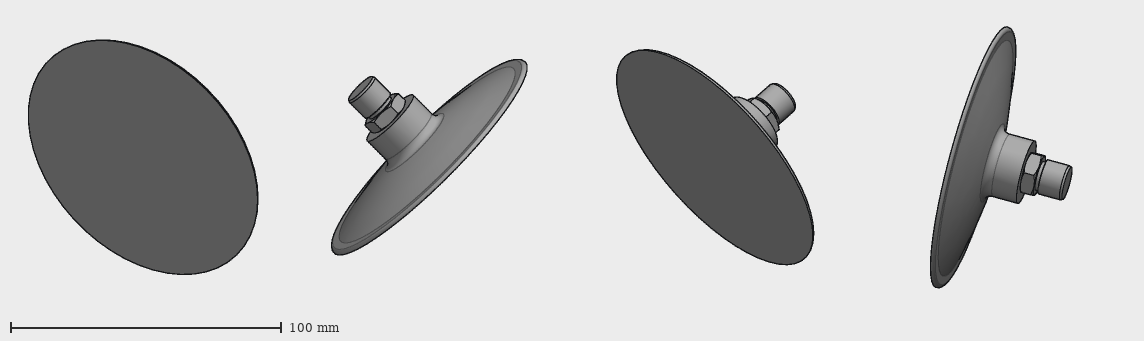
import cadquery as cq
import math

cup_radius = 49.9
total_height = 37.0

rim_height = 1.5
rim_rounding = 1.5
dome_outer_radius = 45.2
dome_inner_radius = 15.0
dome_top = 8.1
dome_bulge = 0.5

collar_radius = 24.0 / 2
flare_top = 11.6
collar_top = 21.2

hex_across_flats = 15.0
hex_top = 26.3
hex_turn = -3.0
hex_chamfer_angle = 30.0

neck_radius = 11.0 / 2
neck_top = 27.8
stud_radius = 13.2 / 2
stud_chamfer_height = 0.9
stud_chamfer_width = 0.4


def make_cup():
    """Lip, dome, flare and collar as one revolved outline."""
    dome_middle = (
        (dome_outer_radius + dome_inner_radius) / 2,
        (rim_height + dome_top) / 2 + dome_bulge,
    )
    inset = 1 - math.sqrt(0.5)
    flare_middle = (
        collar_radius + inset * (dome_inner_radius - collar_radius),
        dome_top + inset * (flare_top - dome_top),
    )
    return (
        cq.Workplane("XY")
        .lineTo(cup_radius, 0)
        .radiusArc((cup_radius - rim_rounding, rim_height), -rim_rounding)
        .lineTo(dome_outer_radius, rim_height)
        .threePointArc(dome_middle, (dome_inner_radius, dome_top))
        .threePointArc(flare_middle, (collar_radius, flare_top))
        .lineTo(collar_radius, collar_top)
        .lineTo(0, collar_top)
        .close()
        .revolve(360, (0, 0, 0), (0, 1, 0))
    )


def make_hex():
    """Hexagonal prism with its corners chamfered by a cone at both ends."""
    flat_radius = hex_across_flats / 2
    corner_radius = flat_radius / math.cos(math.pi / 6)
    chamfer_drop = (corner_radius - flat_radius) * math.tan(math.radians(hex_chamfer_angle))
    prism = (
        cq.Workplane("XZ", origin=(0, collar_top, 0))
        .transformed(rotate=(0, 0, hex_turn))
        .polygon(6, 2 * corner_radius)
        .extrude(collar_top - hex_top)
    )
    envelope = (
        cq.Workplane("XY")
        .moveTo(0, collar_top)
        .lineTo(flat_radius, collar_top)
        .lineTo(corner_radius, collar_top + chamfer_drop)
        .lineTo(corner_radius, hex_top - chamfer_drop)
        .lineTo(flat_radius, hex_top)
        .lineTo(0, hex_top)
        .close()
        .revolve(360, (0, 0, 0), (0, 1, 0))
    )
    return prism.intersect(envelope)


def make_stud():
    """Undercut neck and plain stud with a chamfered tip."""
    return (
        cq.Workplane("XY")
        .moveTo(0, hex_top)
        .lineTo(neck_radius, hex_top)
        .lineTo(neck_radius, neck_top)
        .lineTo(stud_radius, neck_top)
        .lineTo(stud_radius, total_height - stud_chamfer_height)
        .lineTo(stud_radius - stud_chamfer_width, total_height)
        .lineTo(0, total_height)
        .close()
        .revolve(360, (0, 0, 0), (0, 1, 0))
    )


result = make_cup().union(make_hex()).union(make_stud())